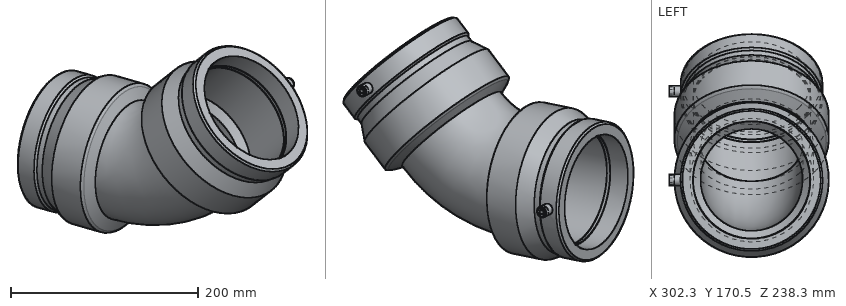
import cadquery as cq
import math

bend_angle = 45
bend_radius = 126.7
collar_length = 94.0
axis_reach = collar_length + bend_radius * math.tan(math.radians(bend_angle / 2))

tube_radius = 66.0
rim_radius = 151.8 / 2
neck_radius = 147.3 / 2
body_radius = 165.0 / 2
shoulder_radius = 79.5

rim_chamfer = 2.0
rim_end = 22.5
neck_start = rim_end + (rim_radius - neck_radius)
neck_end = 31.5
body_start = 49.3
body_end = 86.0
shoulder_end = 88.0

bore_radius = 54.5
socket_radius = 125.0 / 2
socket_depth = 86.2
groove_start = 22.7
groove_end = 27.0
groove_depth = 0.5

terminal_diameter = 12.0
terminal_well_diameter = 9.7
terminal_contact_diameter = 4.8
terminal_well_depth = 5.5
terminal_offset = 12.7
overall_width = 170.5
terminal_tip = overall_width - body_radius
terminal_root = 71.0


def revolve_about_x(points):
    """Revolve an (axial, radial) outline around the X axis."""
    return cq.Workplane("XZ").polyline(points).close().revolve(360, (0, 0), (1, 0))


def collar_body():
    """Stepped outer shape of one collar, with its open face at X = 0."""
    return revolve_about_x([
        (0, 0),
        (0, rim_radius - rim_chamfer),
        (rim_chamfer, rim_radius),
        (rim_end, rim_radius),
        (neck_start, neck_radius),
        (neck_end, neck_radius),
        (body_start, body_radius),
        (body_end, body_radius),
        (shoulder_end, shoulder_radius),
        (collar_length, tube_radius),
        (collar_length, 0),
    ])


def collar_bore():
    """Socket with a shallow ring groove that tapers down to the tube bore."""
    return revolve_about_x([
        (0, 0),
        (0, socket_radius),
        (groove_start, socket_radius),
        (groove_start, socket_radius + groove_depth),
        (groove_end, socket_radius + groove_depth),
        (groove_end, socket_radius),
        (socket_depth, socket_radius),
        (collar_length, bore_radius),
        (collar_length, 0),
    ])


def terminal_cylinder(diameter, start, end):
    """Cylinder along +Y at the terminal position."""
    return (
        cq.Workplane("XZ", origin=(terminal_offset, start, 0))
        .circle(diameter / 2)
        .extrude(start - end)
    )


def terminal():
    """Round shroud with a contact pin standing in its open well."""
    well_floor = terminal_tip - terminal_well_depth
    shroud = terminal_cylinder(terminal_diameter, terminal_root, terminal_tip)
    well = terminal_cylinder(terminal_well_diameter, well_floor, terminal_tip)
    contact = terminal_cylinder(terminal_contact_diameter, terminal_root, terminal_tip)
    return shroud.cut(well).union(contact)


def bend(radius):
    """Solid round bend joining the inner ends of the two collars."""
    return (
        cq.Workplane("YZ", origin=(collar_length, 0, 0))
        .circle(radius)
        .revolve(bend_angle, (0, bend_radius), (-1, bend_radius))
    )


def at_far_end(shape):
    """Mirror a shape from the first collar onto the second one."""
    corner = (axis_reach, 0, 0)
    return (
        shape.mirror("YZ", corner)
        .rotate(corner, (axis_reach, 1, 0), -bend_angle)
    )


collar = collar_body()
socket = collar_bore()
pin = terminal()

result = bend(tube_radius).union(collar).union(at_far_end(collar))
result = result.cut(bend(bore_radius)).cut(socket).cut(at_far_end(socket))
result = result.union(pin).union(at_far_end(pin))